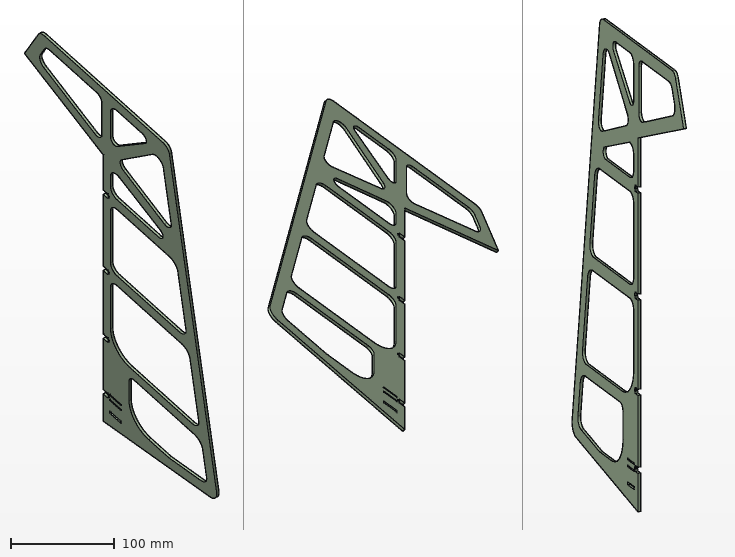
import cadquery as cq
import math


thickness = 3.0
height = 471.5
nose_reach = 120.8
nose_tip_z = 421.2
nose_top_x = -96.5
hinge_top_z = 378.0
trailing_top_x = 100.0
heel_x = 176.0
heel_z = 31.0

hinge_rail = 11.5
trailing_rail = 14.0
top_rail = 13.5
spine_width = 13.5
spine_x = hinge_rail - spine_width
window_top = height - top_rail

crossbar_height = 14.0
lower_crossbar_height = 12.7
upper_bar_bottom = 318.0
middle_bar_bottom = 210.0
lower_bar_bottom = 97.5
upper_bar_top = upper_bar_bottom + crossbar_height
middle_bar_top = middle_bar_bottom + crossbar_height
lower_bar_top = lower_bar_bottom + lower_crossbar_height

nose_window_top_x = -87.7
nose_window_tip_x = -101.0
nose_window_tip_z = 429.5
nose_window_low_z = 393.5

upper_brace_tip_x = 75.5
upper_brace_low_z = 398.0
brace_apex_z = 454.5
brace_foot_z = 353.5
brace_hub_x = 20.0
brace_hub_z = 386.0
lower_brace_high_z = 371.0
lower_brace_tip_x = 120.8

foot_window_x = 39.5
foot_window_z = 32.0
foot_window_bend_x = 101.0
foot_window_heel_z = 42.5

tight_radius = 6.0
brace_radius = 7.5
window_radius = 10.0
outer_radius = 12.7
sweep_radius = 29.5

notch_centers_z = (325.0, 217.0, 120.8, 42.0)
notch_depth = 7.0
notch_height = 6.0
notch_slot_reach = 9.0
notch_slot_height = 2.0

foot_slot_start_x = 10.0
foot_slot_length = 17.5
foot_slots = ((45.8, 1.5), (38.5, 1.5), (21.0, 3.0))


def trailing_x(z):
    """X of the straight trailing edge at height z."""
    return heel_x + (trailing_top_x - heel_x) * (z - heel_z) / (height - heel_z)


def window_trailing_x(z):
    """X of the window side that runs along the trailing edge."""
    return trailing_x(z) - trailing_rail


def corner_arc(before, corner, after, radius):
    """Start, middle and end of the arc that rounds one corner."""
    point = cq.Vector(*corner)
    to_before = (cq.Vector(*before) - point).normalized()
    to_after = (cq.Vector(*after) - point).normalized()
    half_angle = to_before.getAngle(to_after) / 2
    setback = radius / math.tan(half_angle)
    middle_distance = radius / math.sin(half_angle) - radius
    bisector = (to_before + to_after).normalized()
    arc = (
        point + to_before * setback,
        point + bisector * middle_distance,
        point + to_after * setback,
    )
    return [p.toTuple()[:2] for p in arc]


def rounded_plate(corners):
    """Plate from (x, z, radius) corners; a radius of 0 keeps the corner sharp."""
    points = [(x, z) for x, z, _ in corners]
    sketch = None
    for i, (x, z, radius) in enumerate(corners):
        if radius:
            next_point = points[(i + 1) % len(points)]
            start, middle, end = corner_arc(points[i - 1], (x, z), next_point, radius)
        else:
            start = (x, z)
        sketch = sketch.lineTo(*start) if sketch else cq.Workplane("XZ").moveTo(*start)
        if radius:
            sketch = sketch.threePointArc(middle, end)
    return sketch.close().extrude(thickness / 2, both=True)


def slot_cutter(start_x, end_x, center_z, slot_height):
    """Rectangular through-cutter between two X positions."""
    length = end_x - start_x
    return cq.Workplane("XY").box(length, 2 * thickness, slot_height).translate(
        ((start_x + end_x) / 2, 0, center_z)
    )


outline = [
    (0, 0, 0),
    (heel_x, heel_z, outer_radius),
    (trailing_top_x, height, window_radius),
    (nose_top_x, height, window_radius),
    (-nose_reach, nose_tip_z, 0),
    (0, hinge_top_z, 0),
]

nose_window = [
    (nose_window_top_x, window_top, window_radius),
    (spine_x, window_top, brace_radius),
    (spine_x, nose_window_low_z, brace_radius),
    (nose_window_tip_x, nose_window_tip_z, window_radius),
]

upper_brace_window = [
    (hinge_rail, window_top, window_radius),
    (upper_brace_tip_x, window_top, tight_radius),
    (hinge_rail, upper_brace_low_z, tight_radius),
]

trailing_brace_window = [
    (window_trailing_x(brace_apex_z), brace_apex_z, window_radius),
    (window_trailing_x(brace_foot_z), brace_foot_z, brace_radius),
    (brace_hub_x, brace_hub_z, brace_radius),
]

lower_brace_window = [
    (hinge_rail, lower_brace_high_z, window_radius),
    (lower_brace_tip_x, upper_bar_top, tight_radius),
    (hinge_rail, upper_bar_top, window_radius),
]

upper_window = [
    (hinge_rail, upper_bar_bottom, window_radius),
    (window_trailing_x(upper_bar_bottom), upper_bar_bottom, outer_radius),
    (window_trailing_x(middle_bar_top), middle_bar_top, window_radius),
    (hinge_rail, middle_bar_top, window_radius),
]

middle_window = [
    (hinge_rail, middle_bar_bottom, window_radius),
    (window_trailing_x(middle_bar_bottom), middle_bar_bottom, outer_radius),
    (window_trailing_x(lower_bar_top), lower_bar_top, window_radius),
    (hinge_rail, lower_bar_top, sweep_radius),
]

foot_window = [
    (foot_window_x, lower_bar_bottom, brace_radius),
    (window_trailing_x(lower_bar_bottom), lower_bar_bottom, outer_radius),
    (window_trailing_x(foot_window_heel_z), foot_window_heel_z, window_radius),
    (foot_window_bend_x, foot_window_z, 0),
    (foot_window_x, foot_window_z, sweep_radius),
]

windows = [
    nose_window,
    upper_brace_window,
    trailing_brace_window,
    lower_brace_window,
    upper_window,
    middle_window,
    foot_window,
]

result = rounded_plate(outline)

for window in windows:
    result = result.cut(rounded_plate(window))

for center_z in notch_centers_z:
    result = result.cut(slot_cutter(0, notch_depth, center_z, notch_height))
    result = result.cut(slot_cutter(0, notch_slot_reach, center_z, notch_slot_height))

foot_slot_end_x = foot_slot_start_x + foot_slot_length
for center_z, slot_height in foot_slots:
    result = result.cut(slot_cutter(foot_slot_start_x, foot_slot_end_x, center_z, slot_height))